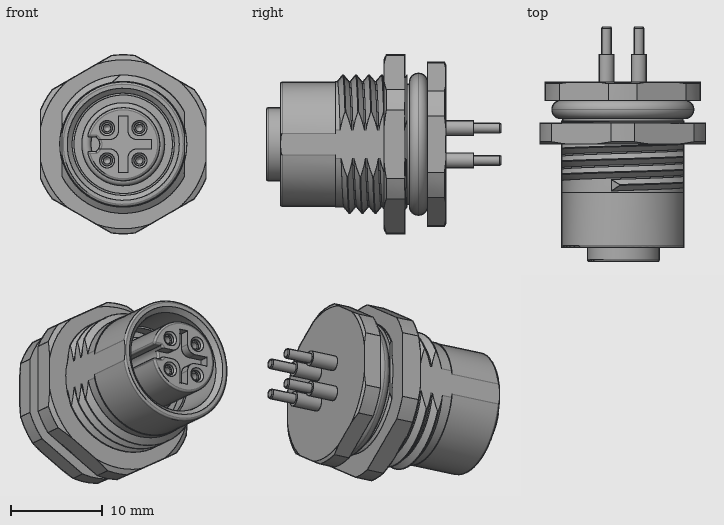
import cadquery as cq
import math


SHELL_FRONT = 1.5
THREAD_FRONT = 7.52
NUT_FRONT, NUT_REAR = 12.78, 15.05
THREAD_REAR = 15.3
FLANGE_FRONT, FLANGE_REAR = 17.5, 19.5
PIN_STEP = 22.52
PIN_END = 25.5

SHELL_RADIUS = 6.75
SHELL_EDGE_RADIUS = 0.23
FLAT_DISTANCE = 6.65
NECK_RADIUS = 6.55
BORE_RADIUS = 5.55
FUNNEL_RADIUS = 6.1
FUNNEL_DEPTH = 0.54
INNER_BORE_RADIUS = 5.35
INNER_BORE_START = 7.65
CAVITY_FLOOR = 9.0

CORE_RADIUS = 6.83
CREST_RADIUS = 7.52
PITCH = 1.4
ROOT_RADIUS = 6.78
ROOT_HALF_WIDTH = 0.66
CREST_HALF_WIDTH = 0.05
RIDGE_START_Y = 8.3
RIDGE_START_ANGLE = -12.0
RAMP_TOP_X, RAMP_FOOT_X = -0.33, -1.22
RAMP_CUT_REACH = 1.53
CROPPED_TURNS = 3

NUT_FLAT, NUT_CORNER = 9.0, 9.75
NUT_CHAMFER, NUT_CHAMFER_LENGTH = 0.55, 0.25
NUT_BORE_RADIUS = 6.9
FLANGE_FLAT, FLANGE_CORNER = 8.45, 8.98
FLANGE_CHAMFER, FLANGE_CHAMFER_LENGTH = 0.38, 0.18

OUTER_RING_RADIUS, OUTER_RING_SECTION = 7.73, 1.0
INNER_RING_RADIUS, INNER_RING_SECTION = 4.51, 0.5
RING_SEAT = 0.03

INSERT_RADIUS = 3.98
INSERT_REAR = 11.48
INSERT_EDGE_RADIUS = 0.23
KEY_HALF_WIDTH = 0.76
KEY_ARC_START_X, KEY_TIP_X = -2.95, -2.55
KEY_LIP_RADIUS = 0.2
CROSS_REACH = 3.05
CROSS_HALF_WIDTH = 0.5
CROSS_CORNER_RADIUS = 1.0
CROSS_DEPTH = 1.22
CONTACT_OFFSET = 1.75
CONTACT_POINTS = [(x * CONTACT_OFFSET, z * CONTACT_OFFSET) for x in (-1, 1) for z in (-1, 1)]
SOCKET_MOUTH_RADIUS, SOCKET_RADIUS, SOCKET_BORE_RADIUS = 0.82, 0.59, 0.4
SOCKET_MOUTH_DEPTH, SOCKET_STEP_DEPTH, SOCKET_DEPTH = 0.23, 0.6, 3.05

PIN_RADIUS = 0.82
PIN_TIP_RADIUS = 0.54
PIN_TIP_CHAMFER, PIN_TIP_CHAMFER_LENGTH = 0.08, 0.15


def plane_at(y):
    """Plane across the axis at y; extruding by a negative length goes toward +Y."""
    return cq.Workplane("XZ", origin=(0, y, 0))


def cylinder(radius, y_start, y_end):
    return plane_at(y_start).circle(radius).extrude(y_start - y_end)


def turned(points):
    """Body of revolution about Y from (radius, y) points."""
    return cq.Workplane("XY").polyline(points).close().revolve(360, (0, 0), (0, 1))


def sealing_ring(outer_radius, section_radius, y):
    ring_radius = outer_radius - section_radius
    section = cq.Workplane("XY").center(ring_radius, y).circle(section_radius)
    return section.revolve(360, (-ring_radius, 0), (-ring_radius, 1))


def hexagon(flat, corner, y_plain, y_chamfered, chamfer, chamfer_length):
    """Hexagon with flats at +-X, corners rounded about the axis and one chamfered end."""
    length = y_chamfered - y_plain
    shoulder = y_chamfered - math.copysign(chamfer_length, length)
    prism = plane_at(y_plain).polygon(6, 2 * flat, circumscribed=True).extrude(-length)
    envelope = turned([
        (0, y_plain),
        (corner, y_plain),
        (corner, shoulder),
        (corner - chamfer, y_chamfered),
        (0, y_chamfered),
    ])
    return prism.intersect(envelope)


def thread_ridge():
    wound_length = THREAD_REAR + PITCH - RIDGE_START_Y
    profile = [
        (ROOT_RADIUS, -ROOT_HALF_WIDTH),
        (CREST_RADIUS, -CREST_HALF_WIDTH),
        (CREST_RADIUS, CREST_HALF_WIDTH),
        (ROOT_RADIUS, ROOT_HALF_WIDTH),
    ]
    helix = cq.Workplane(cq.Wire.makeHelix(PITCH, wound_length, ROOT_RADIUS))
    ridge = cq.Workplane("XZ").polyline(profile).close().sweep(helix, isFrenet=True)
    ridge = ridge.rotate((0, 0, 0), (1, 0, 0), -90)
    ridge = ridge.rotate((0, 0, 0), (0, 1, 0), RIDGE_START_ANGLE - 90)
    ridge = ridge.translate((0, RIDGE_START_Y, 0))
    return ridge.cut(start_ramp())


def start_ramp():
    """Wedge that slopes the first end of the ridge down to the core."""
    foot_z = math.sqrt(CORE_RADIUS**2 - RAMP_FOOT_X**2)
    top_z = math.sqrt(CREST_RADIUS**2 - RAMP_TOP_X**2)
    slope = (top_z - foot_z) / (RAMP_TOP_X - RAMP_FOOT_X)
    wedge = plane_at(THREAD_FRONT).polyline([
        (RAMP_FOOT_X - RAMP_CUT_REACH, foot_z - slope * RAMP_CUT_REACH),
        (RAMP_TOP_X + RAMP_CUT_REACH, top_z + slope * RAMP_CUT_REACH),
        (RAMP_FOOT_X - RAMP_CUT_REACH, top_z + slope * RAMP_CUT_REACH),
    ]).close()
    return wedge.extrude(THREAD_FRONT - RIDGE_START_Y - PITCH / 2)


def shell():
    sleeve = cylinder(SHELL_RADIUS, SHELL_FRONT, THREAD_FRONT)
    sleeve = sleeve.faces("<Y").edges().fillet(SHELL_EDGE_RADIUS)
    core = cylinder(CORE_RADIUS, THREAD_FRONT, THREAD_REAR + CROPPED_TURNS * PITCH)
    body = core.union(thread_ridge()).union(sleeve)
    between_flats = cq.Workplane("XY").box(
        2 * FLAT_DISTANCE, THREAD_REAR, 4 * CREST_RADIUS, centered=(True, False, True)
    )
    body = body.intersect(between_flats).union(cylinder(NECK_RADIUS, CAVITY_FLOOR, FLANGE_REAR))
    cavity = turned([
        (0, SHELL_FRONT),
        (FUNNEL_RADIUS, SHELL_FRONT),
        (BORE_RADIUS, SHELL_FRONT + FUNNEL_DEPTH),
        (BORE_RADIUS, INNER_BORE_START),
        (INNER_BORE_RADIUS, INNER_BORE_START),
        (INNER_BORE_RADIUS, CAVITY_FLOOR),
        (0, CAVITY_FLOOR),
    ])
    return body.cut(cavity)


def cross_recess():
    long_side, short_side = 2 * CROSS_REACH, 2 * CROSS_HALF_WIDTH
    upright = cq.Workplane("XY").box(short_side, CROSS_DEPTH, long_side, centered=(True, False, True))
    level = cq.Workplane("XY").box(long_side, CROSS_DEPTH, short_side, centered=(True, False, True))
    near, far = -2 * CROSS_HALF_WIDTH, 2 * CROSS_HALF_WIDTH
    middle = cq.selectors.BoxSelector((near, 0, near), (far, CROSS_DEPTH, far))
    return upright.union(level).edges("|Y").edges(middle).fillet(CROSS_CORNER_RADIUS)


def socket():
    return turned([
        (0, 0),
        (SOCKET_MOUTH_RADIUS, 0),
        (SOCKET_RADIUS, SOCKET_MOUTH_DEPTH),
        (SOCKET_RADIUS, SOCKET_STEP_DEPTH),
        (SOCKET_BORE_RADIUS, SOCKET_STEP_DEPTH),
        (SOCKET_BORE_RADIUS, SOCKET_DEPTH),
        (0, SOCKET_DEPTH + SOCKET_BORE_RADIUS),
    ])


def insert():
    body = cylinder(INSERT_RADIUS, 0, INSERT_REAR)
    keyway = (
        plane_at(0)
        .moveTo(-2 * INSERT_RADIUS, -KEY_HALF_WIDTH)
        .lineTo(KEY_ARC_START_X, -KEY_HALF_WIDTH)
        .threePointArc((KEY_TIP_X, 0), (KEY_ARC_START_X, KEY_HALF_WIDTH))
        .lineTo(-2 * INSERT_RADIUS, KEY_HALF_WIDTH)
        .close()
        .extrude(-CAVITY_FLOOR)
    )
    body = body.cut(keyway)
    body = body.edges("|Y").edges("<X").fillet(KEY_LIP_RADIUS)
    body = body.faces("<Y").edges().fillet(INSERT_EDGE_RADIUS)
    body = body.cut(cross_recess())
    recess_brink = cq.selectors.NearestToPointSelector((KEY_TIP_X, CROSS_DEPTH, 0))
    body = body.edges(recess_brink).fillet(INSERT_EDGE_RADIUS)
    ring_y = CAVITY_FLOOR - INNER_RING_SECTION + RING_SEAT
    ring = sealing_ring(INNER_RING_RADIUS, INNER_RING_SECTION, ring_y)
    body = body.union(ring)
    for x, z in CONTACT_POINTS:
        body = body.cut(socket().translate((x, 0, z)))
    return body


def solder_pin():
    return turned([
        (0, FLANGE_REAR),
        (PIN_RADIUS, FLANGE_REAR),
        (PIN_RADIUS, PIN_STEP),
        (PIN_TIP_RADIUS, PIN_STEP),
        (PIN_TIP_RADIUS, PIN_END - PIN_TIP_CHAMFER_LENGTH),
        (PIN_TIP_RADIUS - PIN_TIP_CHAMFER, PIN_END),
        (0, PIN_END),
    ])


nut = hexagon(NUT_FLAT, NUT_CORNER, NUT_REAR, NUT_FRONT, NUT_CHAMFER, NUT_CHAMFER_LENGTH)
nut = nut.cut(cylinder(NUT_BORE_RADIUS, NUT_FRONT, NUT_REAR))
flange = hexagon(
    FLANGE_FLAT, FLANGE_CORNER, FLANGE_FRONT, FLANGE_REAR, FLANGE_CHAMFER, FLANGE_CHAMFER_LENGTH
)
outer_ring_y = FLANGE_FRONT - OUTER_RING_SECTION + RING_SEAT
outer_ring = sealing_ring(OUTER_RING_RADIUS, OUTER_RING_SECTION, outer_ring_y)

result = shell().union(nut).union(flange).union(outer_ring).union(insert())
for pin_x, pin_z in CONTACT_POINTS:
    result = result.union(solder_pin().translate((pin_x, 0, pin_z)))